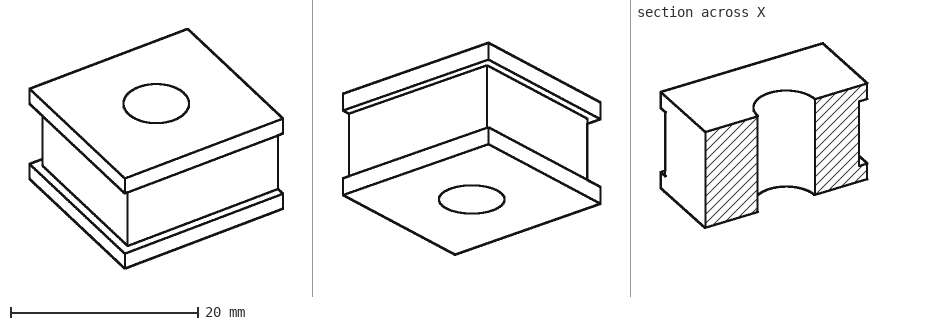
import cadquery as cq

width = 19.0
depth = 20.0
height = 12.0

flange_thickness = 2.0
flange_overhang = 1.0
bore_diameter = 7.0

core_width = width - 2 * flange_overhang
core_depth = depth - flange_overhang
core_height = height - 2 * flange_thickness


def flange(bottom):
    """Rectangular plate whose underside lies at the given height."""
    return (
        cq.Workplane("XY")
        .workplane(offset=bottom)
        .rect(width, depth)
        .extrude(flange_thickness)
    )


core = (
    cq.Workplane("XY")
    .workplane(offset=flange_thickness)
    .center(0, flange_overhang / 2)
    .rect(core_width, core_depth)
    .extrude(core_height)
)

bore = cq.Workplane("XY").circle(bore_diameter / 2).extrude(height)

body = core.union(flange(0)).union(flange(height - flange_thickness))
result = body.cut(bore)